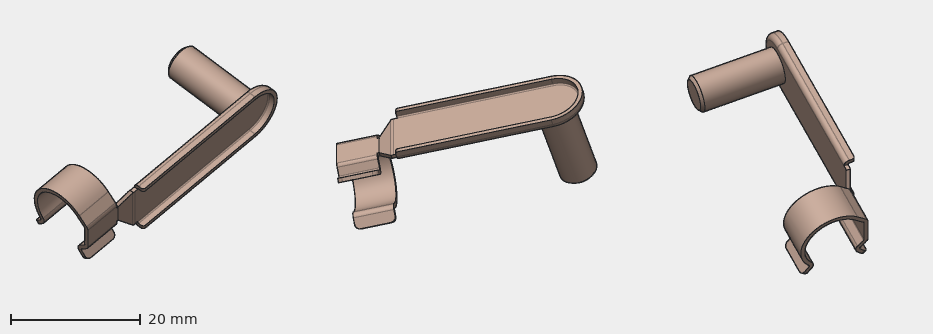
import cadquery as cq
import math

sheet = 0.7
bend_inner = 0.2
bend_outer = bend_inner + sheet

pin_diameter = 6.0
pin_chamfer = 0.5

back_x = 16.0
plate_depth = 1.9
plate_x = back_x - plate_depth
plate_width = 10.0
plate_end_y = -25.0
flange_corner_radius = 0.5

clip_radius = 5.0
clip_outer = clip_radius + sheet
clip_axis_x = 8.0
clip_wall_x = clip_axis_x + clip_radius
clip_end_y = -35.0
clip_length = 6.5
clip_start_y = clip_end_y + clip_length
facet_angle = 47.0

lip_bend_inner = 0.3
lip_bend_outer = lip_bend_inner + sheet
lip_bend_start_angle = 40.5
lip_slope = 48.0
lip_length = 1.87
lip_corner_radius = 0.8

neck_wide = plate_width - 2 * bend_outer
neck_narrow = 3.4
neck_top_y = -25.85
neck_taper_y = -25.97
neck_bottom_y = -28.2
neck_bend_inner = 0.5


def polar(centre, radius, degrees):
    """Point at a radius and an angle around a centre."""
    angle = math.radians(degrees)
    return (centre[0] + radius * math.cos(angle), centre[1] + radius * math.sin(angle))


def edge_at(x, y=None, z=None):
    """Selector for the edge whose centre has the given X and the given Y or Z."""
    reach = 0.01
    far = 100.0
    low_y, high_y = (-far, far) if y is None else (y - reach, y + reach)
    low_z, high_z = (-far, far) if z is None else (z - reach, z + reach)
    return cq.selectors.BoxSelector((x - reach, low_y, low_z), (x + reach, high_y, high_z))


def make_pin():
    """Round pin, chamfered at its free end and running into the plate."""
    pin = cq.Workplane("YZ").circle(pin_diameter / 2).extrude(plate_x + sheet)
    return pin.faces("<X").chamfer(pin_chamfer)


def stadium(width, x_start, edge_radius):
    """Block with a round end about the pin axis, its edge at x_start rounded, up to the back."""
    half = width / 2
    block = (
        cq.Workplane("YZ", origin=(x_start, 0, 0))
        .moveTo(plate_end_y, -half)
        .lineTo(0, -half)
        .threePointArc((half, 0), (0, half))
        .lineTo(plate_end_y, half)
        .close()
        .extrude(back_x - x_start)
    )
    return block.faces("<X").edges("not <Y").fillet(edge_radius)


def make_plate():
    """Shallow tray: a floor with a flange along both sides and around the pin end."""
    outer = stadium(plate_width, plate_x, bend_outer)
    hollow = stadium(plate_width - 2 * sheet, plate_x + sheet, bend_inner)
    tray = outer.cut(hollow)
    return tray.edges("|Z").edges(edge_at(back_x, y=plate_end_y)).fillet(flange_corner_radius)


def make_neck():
    """Strip that steps from the plate to the clip wall while it narrows."""
    step = (
        cq.Workplane("XY", origin=(0, 0, -neck_wide / 2))
        .moveTo(plate_x, plate_end_y)
        .lineTo(plate_x, neck_top_y)
        .lineTo(clip_wall_x, neck_bottom_y)
        .lineTo(clip_wall_x, clip_start_y)
        .lineTo(clip_wall_x + sheet, clip_start_y)
        .lineTo(clip_wall_x + sheet, neck_bottom_y)
        .lineTo(plate_x + sheet, neck_top_y)
        .lineTo(plate_x + sheet, plate_end_y)
        .close()
        .extrude(neck_wide)
    )
    step = step.edges("|Z").edges(edge_at(plate_x, y=neck_top_y)).fillet(neck_bend_inner)
    step = step.edges("|Z").edges(edge_at(plate_x + sheet, y=neck_top_y)).fillet(neck_bend_inner + sheet)
    half_outline = [
        (plate_end_y, neck_wide / 2),
        (neck_taper_y, neck_wide / 2),
        (neck_bottom_y, neck_narrow / 2),
        (clip_start_y, neck_narrow / 2),
    ]
    mirrored = [(y, -z) for y, z in reversed(half_outline)]
    taper = cq.Workplane("YZ").polyline(half_outline + mirrored).close().extrude(back_x)
    return step.intersect(taper)


def make_clip():
    """C-shaped band: flat wall and two sloping facets at +X, round elsewhere, with two lips."""
    axis = (clip_axis_x, 0)
    corner_ratio = math.tan(math.radians(facet_angle / 2))
    corner_z = clip_radius * corner_ratio
    outer_corner_z = clip_outer * corner_ratio
    arc_end = 180 + lip_bend_start_angle
    arc_middle = (facet_angle + arc_end) / 2

    bend_distance = clip_radius + lip_bend_outer
    setback = bend_distance * math.sin(math.radians(facet_angle - lip_bend_start_angle))
    right_bend = polar(polar(axis, bend_distance, -facet_angle), setback, 90 - facet_angle)
    left_bend = polar(axis, bend_distance, arc_end)

    right_lip = -lip_slope
    left_lip = 180 + lip_slope
    right_top = polar(right_bend, lip_bend_outer, right_lip - 90)
    right_underside = polar(right_bend, lip_bend_inner, right_lip - 90)
    left_top = polar(left_bend, lip_bend_outer, left_lip + 90)
    left_underside = polar(left_bend, lip_bend_inner, left_lip + 90)

    band = (
        cq.Workplane("XZ", origin=(0, clip_start_y, 0))
        .moveTo(*polar(right_top, lip_length, right_lip))
        .lineTo(*right_top)
        .threePointArc(
            polar(right_bend, lip_bend_outer, 180),
            polar(right_bend, lip_bend_outer, 180 - facet_angle),
        )
        .lineTo(clip_wall_x, -corner_z)
        .lineTo(clip_wall_x, corner_z)
        .lineTo(*polar(axis, clip_radius, facet_angle))
        .threePointArc(polar(axis, clip_radius, arc_middle), polar(axis, clip_radius, arc_end))
        .threePointArc(polar(left_bend, lip_bend_outer, 0), left_top)
        .lineTo(*polar(left_top, lip_length, left_lip))
        .lineTo(*polar(left_underside, lip_length, left_lip))
        .lineTo(*left_underside)
        .threePointArc(
            polar(left_bend, lip_bend_inner, 0),
            polar(left_bend, lip_bend_inner, lip_bend_start_angle),
        )
        .threePointArc(polar(axis, clip_outer, arc_middle), polar(axis, clip_outer, facet_angle))
        .lineTo(clip_wall_x + sheet, outer_corner_z)
        .lineTo(clip_wall_x + sheet, -outer_corner_z)
        .lineTo(*polar(right_bend, lip_bend_inner, 180 - facet_angle))
        .threePointArc(polar(right_bend, lip_bend_inner, 180), right_underside)
        .lineTo(*polar(right_underside, lip_length, right_lip))
        .close()
        .extrude(clip_length)
    )

    for side in (1, -1):
        band = band.edges("|Y").edges(edge_at(clip_wall_x, z=side * corner_z)).fillet(bend_inner)
        outer_bend = edge_at(clip_wall_x + sheet, z=side * outer_corner_z)
        band = band.edges("|Y").edges(outer_bend).fillet(bend_outer)

    for lip in (right_lip, left_lip):
        lip_x, lip_z = polar((0, 0), 1, lip)
        along_lip = cq.selectors.DirectionMinMaxSelector(cq.Vector(lip_x, 0, lip_z), True)
        tip = band.faces(along_lip)
        band = tip.edges("not |Y").fillet(lip_corner_radius)
    return band


result = make_pin().union(make_plate()).union(make_neck()).union(make_clip())